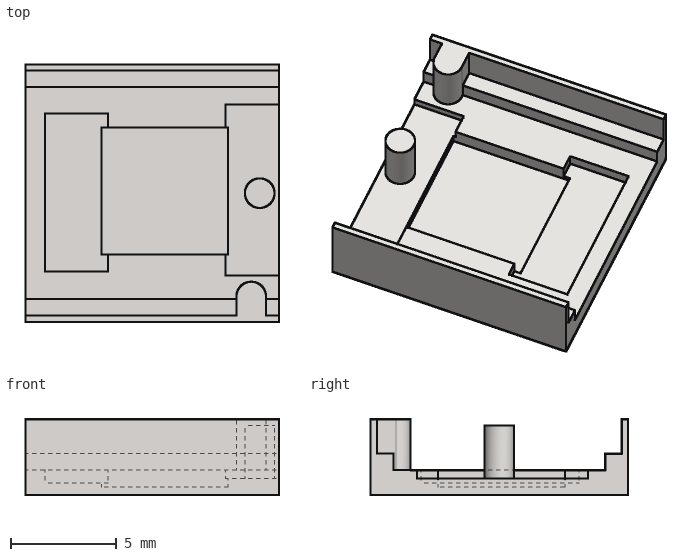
import cadquery as cq

length = 12.0
width = 12.2
height = 3.6

floor_z = 1.18
ledge_z = 1.96
wall_thickness = 0.3
ledge_inset = 1.09

left_depth = 0.6
center_depth = 0.8
right_depth = 0.4

left_x, left_y = (0.92, 3.92), (2.4, 9.88)
center_x, center_y = (3.6, 9.58), (3.2, 9.21)
right_x, right_y = (9.47, length), (2.21, 10.3)

post_diameter = 1.4
pin_x = 11.09
pin_top_z = 3.31
boss_x = 10.69
boss_y = 1.21


def block(x_limits, y_limits, z_limits):
    """Box between limits measured from the -X, -Y and bottom sides."""
    return cq.Workplane("XY").box(
        x_limits[1] - x_limits[0],
        y_limits[1] - y_limits[0],
        z_limits[1] - z_limits[0],
        centered=False,
    ).translate((x_limits[0] - length / 2, y_limits[0] - width / 2, z_limits[0]))


def post(x, y, top_z):
    """Round post standing on the floor, fused through to the underside."""
    return (
        cq.Workplane("XY")
        .center(x - length / 2, y - width / 2)
        .circle(post_diameter / 2)
        .extrude(top_z)
    )


def tray():
    """Base with a ledge and a thin wall along each long side."""
    body = block((0, length), (0, width), (0, height))
    wall_gap = (wall_thickness, width - wall_thickness)
    floor_span = (ledge_inset, width - ledge_inset)
    body = body.cut(block((0, length), wall_gap, (ledge_z, height)))
    return body.cut(block((0, length), floor_span, (floor_z, height)))


def pocket(x_limits, y_limits, depth):
    """Rectangular recess in the floor."""
    return block(x_limits, y_limits, (floor_z - depth, floor_z))


def wall_boss():
    """Round-nosed boss joined to the -Y wall."""
    radius = post_diameter / 2
    web = block((boss_x - radius, boss_x + radius), (0, boss_y), (0, height))
    return post(boss_x, boss_y, height).union(web)


result = (
    tray()
    .cut(pocket(left_x, left_y, left_depth))
    .cut(pocket(center_x, center_y, center_depth))
    .cut(pocket(right_x, right_y, right_depth))
    .union(post(pin_x, width / 2, pin_top_z))
    .union(wall_boss())
)